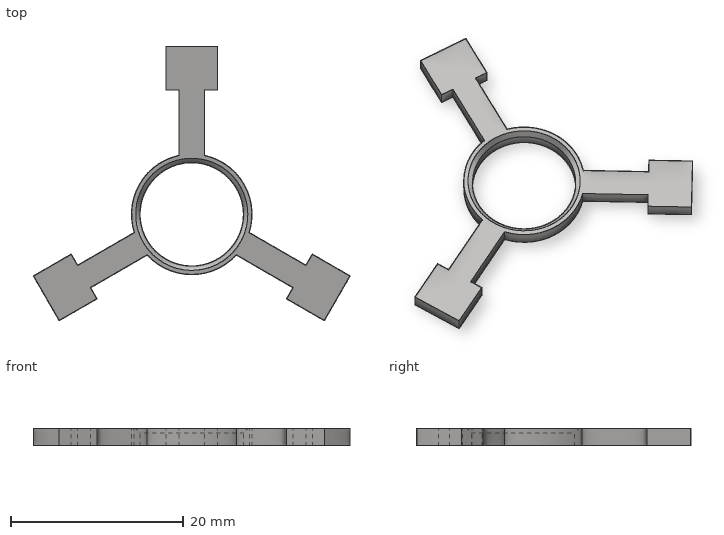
import cadquery as cq
import math

overall_width = 36.77
thickness = 2.0
hole_diameter = 12.0
chamfer_diameter = 13.0
ring_diameter = 14.0
arm_count = 3
arm_width = 3.0
pad_width = 6.0
pad_length = 5.07

arm_slope = math.radians(30)
reach = (overall_width / 2 - pad_width / 2 * math.sin(arm_slope)) / math.cos(arm_slope)
chamfer_size = (chamfer_diameter - hole_diameter) / 2


def radial_block(width, inner_end, outer_end):
    """Block centred on the +Y axis between two distances from the ring axis."""
    return (
        cq.Workplane("XY")
        .center(0, (inner_end + outer_end) / 2)
        .rect(width, outer_end - inner_end)
        .extrude(thickness)
    )


def make_arm():
    """Narrow arm starting at the ring axis, with a wide pad at its tip."""
    arm = radial_block(arm_width, 0, reach)
    pad = radial_block(pad_width, reach - pad_length, reach)
    return arm.union(pad)


body = cq.Workplane("XY").circle(ring_diameter / 2).extrude(thickness)
arm = make_arm()
for index in range(arm_count):
    body = body.union(arm.rotate((0, 0, 0), (0, 0, 1), index * 360 / arm_count))

bore = cq.Workplane("XY").circle(hole_diameter / 2).extrude(thickness)
bore_chamfer = cq.Workplane(
    cq.Solid.makeCone(
        hole_diameter / 2,
        chamfer_diameter / 2,
        chamfer_size,
        pnt=cq.Vector(0, 0, thickness - chamfer_size),
    )
)
result = body.cut(bore).cut(bore_chamfer)